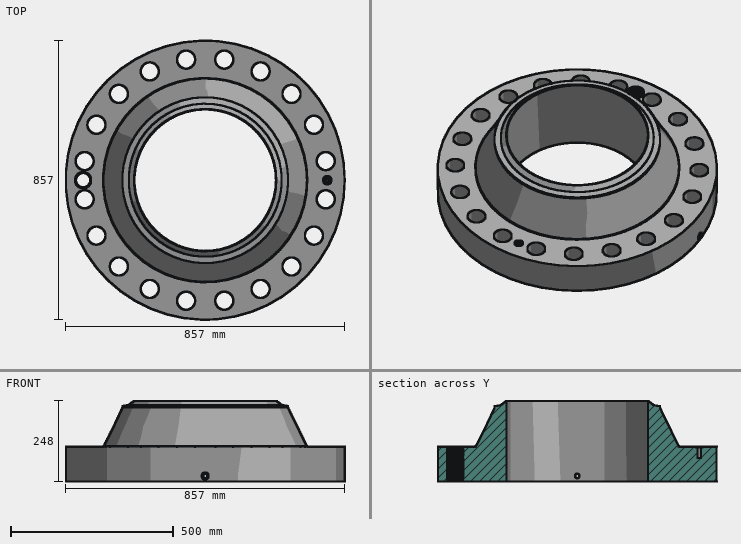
import cadquery as cq
import math

flange_diameter = 857.0
flange_thickness = 107.0
bore_diameter = 434.0

overall_height = 248.0
neck_foot_radius = 314.0
neck_base_radius = 312.0
neck_foot_height = 2.0
neck_lip_radius = 255.0
neck_lip_height = 5.0

root_face_width = 2.0
bevel_break_radius = 235.0
inner_bevel_angle = 37.5
outer_bevel_angle = 10

bolt_count = 20
bolt_circle_radius = 375.0
bolt_hole_diameter = 55.0
bolt_pitch_angle = 360 / bolt_count

jack_minor_diameter = 44.0
jack_major_diameter = 50.0
jack_thread_pitch = 6.0

stepped_mouth_diameter = 26.0
stepped_recess_diameter = 19.0
stepped_recess_depth = 3.0
stepped_core_diameter = 10.0
stepped_hole_depth = 34.0

tap_height = 17.0
tap_mouth_diameter = 21.5
tap_socket_diameter = 19.0
tap_socket_depth = 26.0
tap_drill_diameter = 13.0


def revolve_profile(points):
    """Solid of revolution about Z from (radius, height) points."""
    return cq.Workplane("XZ").polyline(points).close().revolve(360, (0, 0, 0), (0, 1, 0))


def make_body():
    """Flange ring with its tapered neck, bored through."""
    bore_radius = bore_diameter / 2
    rim_radius = flange_diameter / 2
    root_radius = bore_radius + root_face_width
    inner_bevel_drop = (bevel_break_radius - root_radius) * math.tan(math.radians(inner_bevel_angle))
    outer_bevel_drop = (neck_lip_radius - bevel_break_radius) * math.tan(math.radians(outer_bevel_angle))
    bevel_break_height = overall_height - inner_bevel_drop
    neck_lip_top = bevel_break_height - outer_bevel_drop
    return revolve_profile([
        (bore_radius, 0),
        (rim_radius, 0),
        (rim_radius, flange_thickness),
        (neck_foot_radius, flange_thickness),
        (neck_base_radius, flange_thickness + neck_foot_height),
        (neck_lip_radius, neck_lip_top - neck_lip_height),
        (neck_lip_radius, neck_lip_top),
        (bevel_break_radius, bevel_break_height),
        (root_radius, overall_height),
        (bore_radius, overall_height),
    ])


def make_bolt_holes():
    return (
        cq.Workplane("XY")
        .polarArray(bolt_circle_radius, bolt_pitch_angle / 2, 360, bolt_count)
        .circle(bolt_hole_diameter / 2)
        .extrude(flange_thickness)
    )


def make_jack_hole():
    """Through hole whose wall carries ring-shaped V grooves in place of a helical thread."""
    minor_radius = jack_minor_diameter / 2
    major_radius = jack_major_diameter / 2
    chamfer = major_radius - minor_radius
    groove_count = math.floor((flange_thickness - 2 * chamfer) / jack_thread_pitch)
    first_groove = (flange_thickness - groove_count * jack_thread_pitch) / 2

    points = [(0, 0), (major_radius, 0), (minor_radius, chamfer)]
    for index in range(groove_count):
        groove_bottom = first_groove + index * jack_thread_pitch
        points.append((minor_radius, groove_bottom))
        points.append((major_radius, groove_bottom + jack_thread_pitch / 2))
    points += [
        (minor_radius, first_groove + groove_count * jack_thread_pitch),
        (minor_radius, flange_thickness - chamfer),
        (major_radius, flange_thickness),
        (0, flange_thickness),
    ]
    return revolve_profile(points).translate((-bolt_circle_radius, 0, 0))


def make_stepped_hole():
    """Shallow recess with sloping sides and a narrow blind hole in its floor."""
    recess_floor = flange_thickness - stepped_recess_depth
    hole_floor = flange_thickness - stepped_hole_depth
    return revolve_profile([
        (0, hole_floor),
        (stepped_core_diameter / 2, hole_floor),
        (stepped_core_diameter / 2, recess_floor),
        (stepped_recess_diameter / 2, recess_floor),
        (stepped_mouth_diameter / 2, flange_thickness),
        (0, flange_thickness),
    ]).translate((bolt_circle_radius, 0, 0))


def make_pressure_tap():
    """Tapered socket from the -Y rim with a drilled hole on into the bore."""
    rim_radius = flange_diameter / 2
    socket_floor = rim_radius - tap_socket_depth
    tap = revolve_profile([
        (0, 0),
        (tap_drill_diameter / 2, 0),
        (tap_drill_diameter / 2, socket_floor),
        (tap_socket_diameter / 2, socket_floor),
        (tap_mouth_diameter / 2, rim_radius),
        (0, rim_radius),
    ])
    return tap.rotate((0, 0, 0), (1, 0, 0), 90).translate((0, 0, tap_height))


pressure_tap = make_pressure_tap()
result = make_body().cut(make_bolt_holes()).cut(make_jack_hole()).cut(make_stepped_hole())
for tap_angle in (0, 180):
    result = result.cut(pressure_tap.rotate((0, 0, 0), (0, 0, 1), tap_angle))